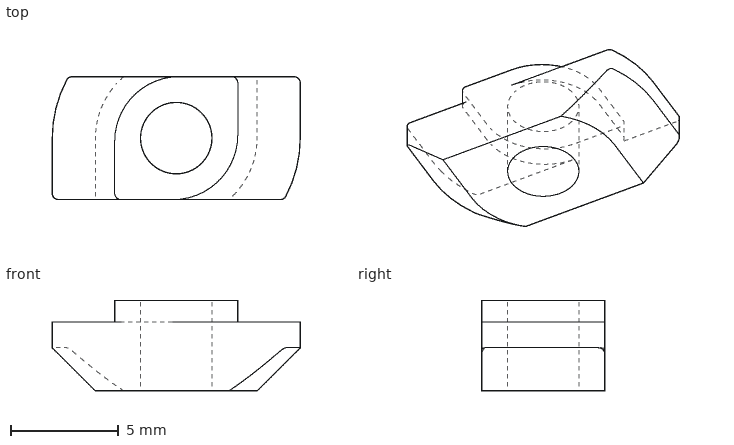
import cadquery as cq

length = 11.5
width = 5.7
height = 4.2
boss_height = 1.0
bevel_height = 2.0
corner_radius = 0.3
boss_round_radius = 3.0
hole_diameter = 3.3

half_length = length / 2
half_width = width / 2
flange_height = height - boss_height
bottom_half_length = half_length - bevel_height
top_half_length = bottom_half_length + flange_height


def make_flange():
    """Plate with two diagonal corners swept round to a circle about the hole axis."""
    block = cq.Workplane("XY").box(length, width, flange_height, centered=(True, True, False))
    turning_circle = cq.Workplane("XY").circle(half_length).extrude(flange_height)
    plate = block.intersect(turning_circle.union(opposite_quarters(1)))
    outer_corners = plate.faces("<Y or >Y").edges("|Z")
    return outer_corners.fillet(corner_radius)


def opposite_quarters(side):
    """Two diagonal quarter blocks: side 1 has X and Y of equal sign, -1 of opposite sign."""
    return (
        cq.Workplane("XY")
        .pushPoints([(half_length, side * half_length), (-half_length, -side * half_length)])
        .rect(length, length)
        .extrude(flange_height)
    )


def make_bevel_envelope():
    """Flat bevels on the square quarters, blending into a cone on the round ones."""
    wedge = (
        cq.Workplane("XZ")
        .polyline([
            (-bottom_half_length, 0),
            (bottom_half_length, 0),
            (top_half_length, flange_height),
            (-top_half_length, flange_height),
        ])
        .close()
        .extrude(half_width, both=True)
    )
    cone = (
        cq.Workplane("XZ")
        .polyline([
            (0, 0),
            (bottom_half_length, 0),
            (top_half_length, flange_height),
            (0, flange_height),
        ])
        .close()
        .revolve(360, (0, 0), (0, 1))
    )
    flat_part = wedge.intersect(opposite_quarters(1))
    round_part = cone.intersect(opposite_quarters(-1))
    return flat_part.union(round_part)


def make_boss():
    """Square boss with large rounds on two diagonal corners and small ones on the others."""
    boss = (
        cq.Workplane("XY", origin=(0, 0, flange_height))
        .rect(width, width)
        .extrude(boss_height)
    )
    boss = boss.edges("<(1, -1, 0) or >(1, -1, 0)").fillet(boss_round_radius)
    return boss.edges("<(1, 1, 0) or >(1, 1, 0)").fillet(corner_radius)


def make_hole():
    return cq.Workplane("XY").circle(hole_diameter / 2).extrude(height)


result = make_flange().intersect(make_bevel_envelope()).union(make_boss()).cut(make_hole())